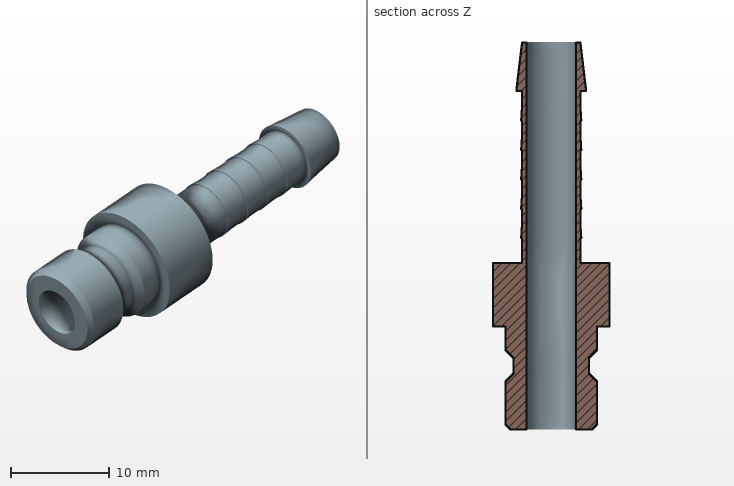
import cadquery as cq


total_length = 39.5
bore_diameter = 5.0

plug_length = 10.5
plug_diameter = 9.4
plug_chamfer = 0.5
groove_diameter = 7.8
groove_start = 4.9
groove_width = 3.2

collar_length = 6.5
collar_diameter = 12.0

shank_diameter = 6.0
ridge_diameter = 6.2
ridge_length = 1.5
ridge_pitch = 3.0
ridge_count = 5
barb_length = 5.0
barb_diameter = 7.2

groove_depth = (plug_diameter - groove_diameter) / 2
groove_end = groove_start + groove_width
collar_end = plug_length + collar_length
barb_start = total_length - barb_length
last_ridge_start = barb_start - ridge_pitch


def cylinder(diameter, start, end):
    """Solid cylinder on the Y axis between two stations."""
    sketch = cq.Workplane("XZ", origin=(0, start, 0)).circle(diameter / 2)
    return sketch.extrude(start - end)


def hose_cone(large_diameter, start, length):
    """Cone on the Y axis, tapering toward the hose end down to the shank diameter."""
    profile = (
        cq.Workplane("XY")
        .moveTo(0, start)
        .lineTo(large_diameter / 2, start)
        .lineTo(shank_diameter / 2, start + length)
        .lineTo(0, start + length)
        .close()
    )
    return profile.revolve(360, (0, 0, 0), (0, 1, 0))


def plug():
    """Plug with a chamfered nose and a 45-degree flanked locking groove."""
    plug_radius = plug_diameter / 2
    groove_radius = groove_diameter / 2
    profile = (
        cq.Workplane("XY")
        .moveTo(0, 0)
        .lineTo(plug_radius - plug_chamfer, 0)
        .lineTo(plug_radius, plug_chamfer)
        .lineTo(plug_radius, groove_start)
        .lineTo(groove_radius, groove_start + groove_depth)
        .lineTo(groove_radius, groove_end - groove_depth)
        .lineTo(plug_radius, groove_end)
        .lineTo(plug_radius, plug_length)
        .lineTo(0, plug_length)
        .close()
    )
    return profile.revolve(360, (0, 0, 0), (0, 1, 0))


def hose_tail():
    """Straight shank with evenly spaced ridges and a large barb at its end."""
    tail = cylinder(shank_diameter, collar_end, barb_start)
    for index in range(ridge_count):
        ridge_start = last_ridge_start - index * ridge_pitch
        tail = tail.union(hose_cone(ridge_diameter, ridge_start, ridge_length))
    return tail.union(hose_cone(barb_diameter, barb_start, barb_length))


collar = cylinder(collar_diameter, plug_length, collar_end)
bore = cylinder(bore_diameter, 0, total_length)

result = plug().union(collar).union(hose_tail()).cut(bore)